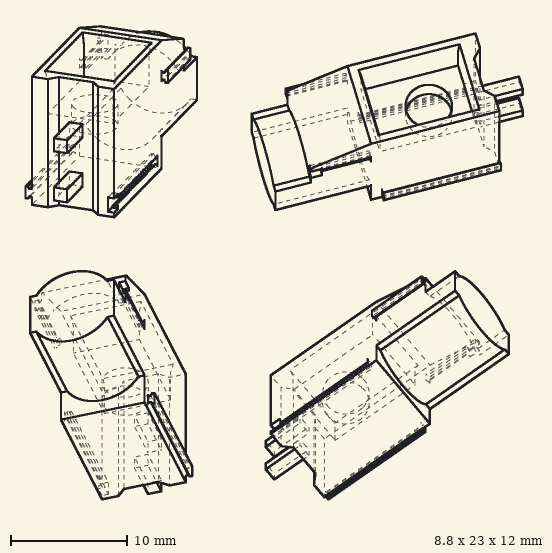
import cadquery as cq
import math


width = 7.6
height = 12.0
block_length = 11.45
neck_length = 8.55
back_y = block_length + neck_length
exposed_barrel_length = 3.2
shoulder_y = back_y - exposed_barrel_length
shoulder_z = 10.03
shoulder_radius = 0.44

barrel_radius = width / 2
barrel_z = 5.01
flank_half_height = 2.0

channel_depth = 0.75
channel_floor_width = 3.13

pin_size = 1.22
pin_length = 3.0
pin_heights = (2.71, 7.31)

pocket_width = 6.35
pocket_length = 9.02
pocket_y = 6.12
pocket_depth = 4.05
lead_in_depth = 1.01
lead_in_inset = 0.18
screw_hole_diameter = 4.0
screw_hole_depth = 2.0
screw_hole_y = 5.25

rail_reach = 0.6
neck_half = 0.35
base_radius = 0.14
waist_start = 0.23
waist_end = 0.37
rail_head_half = 0.58
rail_head_radius = 0.12
slot_depth = 0.58
slot_head_half = 0.6
relief_half = 0.67
relief_length = 1.0
low_rail_z = 1.1
high_rail_z = 8.65
low_rail_end_y = 10.49


def box_between(x_range, y_range, z_range):
    """Box spanning the given X, Y and Z limits."""
    size = [limits[1] - limits[0] for limits in (x_range, y_range, z_range)]
    return cq.Workplane("XY").box(*size, centered=False).translate((x_range[0], y_range[0], z_range[0]))


def make_housing():
    """Main block with its sloped shoulder, joined to the wire-entry barrel."""
    flank_bottom = barrel_z - flank_half_height
    flank_top = barrel_z + flank_half_height
    side_outline = [
        (0, 0),
        (block_length, 0),
        (block_length, flank_bottom),
        (shoulder_y, flank_bottom),
        (shoulder_y, shoulder_z),
        (block_length, height),
        (0, height),
    ]
    block = cq.Workplane("YZ").polyline(side_outline).close().extrude(width / 2, both=True)
    shoulder_edge = cq.selectors.NearestToPointSelector((0, shoulder_y, shoulder_z))
    block = block.edges(shoulder_edge).fillet(shoulder_radius)
    flanks = box_between((-width / 2, width / 2), (block_length, back_y), (flank_bottom, flank_top))
    barrel = (
        cq.Workplane("XZ", origin=(0, block_length, barrel_z))
        .circle(barrel_radius)
        .extrude(-neck_length)
    )
    return block.union(flanks).union(barrel)


def make_channel():
    """Full-height channel with 45-degree sides."""
    floor_half = channel_floor_width / 2
    mouth_half = floor_half + channel_depth
    outline = [(-mouth_half, 0), (-floor_half, channel_depth), (floor_half, channel_depth), (mouth_half, 0)]
    return cq.Workplane("XY").polyline(outline).close().extrude(height)


def make_pin(z):
    """Square contact pin standing out of the channel floor."""
    half = pin_size / 2
    return box_between((-half, half), (-pin_length, channel_depth), (z - half, z + half))


def make_pocket():
    """Rectangular pocket with a tapered lead-in and a round screw hole in its floor."""
    inner_width = pocket_width - 2 * lead_in_inset
    inner_length = pocket_length - 2 * lead_in_inset
    top = cq.Workplane("XY", origin=(0, pocket_y, height))
    lead_in = (
        top.rect(pocket_width, pocket_length)
        .workplane(offset=-lead_in_depth)
        .rect(inner_width, inner_length)
        .loft(ruled=True)
    )
    well = top.workplane(offset=-lead_in_depth).rect(inner_width, inner_length)
    well = well.extrude(lead_in_depth - pocket_depth)
    hole = (
        cq.Workplane("XY", origin=(0, screw_hole_y, height - pocket_depth))
        .circle(screw_hole_diameter / 2)
        .extrude(-screw_hole_depth)
    )
    return lead_in.union(well).union(hole)


def make_interlock(side, direction, z, head_half, reach, y_start, y_end):
    """Bar on a side face with a rounded-out base, a narrow neck and a wider head, growing along direction."""
    base_half = neck_half + base_radius
    upper = [(base_radius, neck_half), (waist_start, neck_half), (waist_end, head_half), (reach, head_half)]
    lower = [(distance, -half) for distance, half in reversed(upper)]
    arc_drop = base_radius * (1 - math.sqrt(0.5))

    def place(distance, half):
        return side * width / 2 + direction * distance, z + half

    outline = (
        cq.Workplane("XZ")
        .moveTo(*place(0, base_half))
        .threePointArc(place(arc_drop, neck_half + arc_drop), place(*upper[0]))
        .polyline([place(*point) for point in upper[1:] + lower], includeCurrent=True)
        .threePointArc(place(arc_drop, -neck_half - arc_drop), place(0, -base_half))
        .close()
    )
    return outline.extrude(y_start - y_end).translate((0, y_start, 0))


def make_rail(side, z, y_start, y_end):
    """Rail on the side face given by the sign of side, with the outer edges of its head rounded."""
    rail = make_interlock(side, side, z, rail_head_half, rail_reach, y_start, y_end)
    outer_face = ">X" if side > 0 else "<X"
    return rail.faces(outer_face).edges("|Y").fillet(rail_head_radius)


def make_slot(side, z, y_start, y_end, relief_start):
    """Slot in a side face that takes a neighbour's rail, with a wide relief at its open end."""
    face_x = side * width / 2
    floor_x = face_x - side * slot_depth
    slot = make_interlock(side, -side, z, slot_head_half, slot_depth, y_start, y_end)
    relief = box_between(
        sorted((face_x, floor_x)),
        (relief_start, relief_start + relief_length),
        (z - relief_half, z + relief_half),
    )
    return slot.union(relief)


result = make_housing().cut(make_channel()).cut(make_pocket())
for pin_z in pin_heights:
    result = result.union(make_pin(pin_z))
result = result.union(make_rail(-1, low_rail_z, 0, low_rail_end_y))
result = result.union(make_rail(1, high_rail_z, block_length, shoulder_y))
result = result.cut(make_slot(1, low_rail_z, 0, low_rail_end_y, 0))
result = result.cut(make_slot(-1, high_rail_z, block_length, shoulder_y, shoulder_y - relief_length))